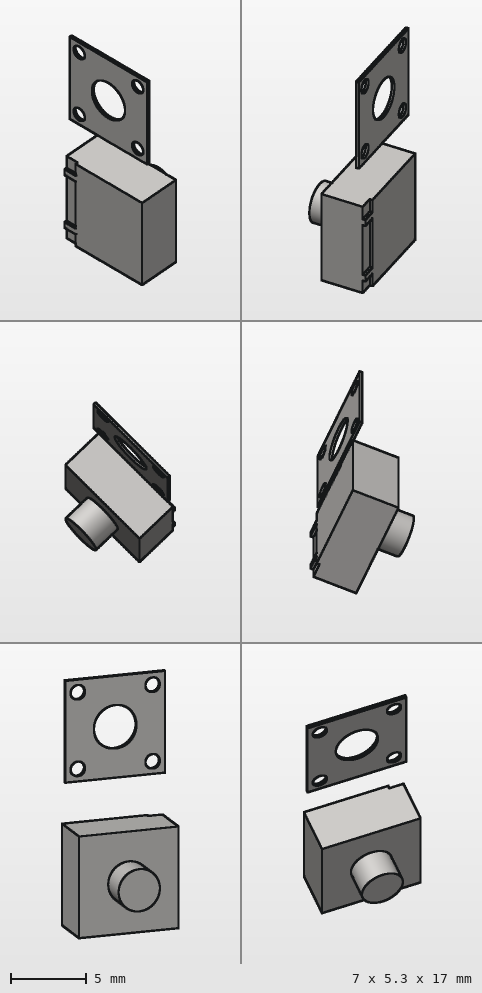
import cadquery as cq

side = 7.0

housing_depth = 3.3
stem_diameter = 2.9
stem_length = 2.0

recess_depth = 0.2
recess_width = 1.0
rib_height = 0.5
end_recess_height = 1.0
middle_recess_height = side - 2 * (end_recess_height + rib_height)

total_height = 17.0
plate_bottom = total_height - side
plate_front = 0.5
plate_thickness = 0.2
center_hole_diameter = 3.0
corner_hole_diameter = 1.0
corner_pitch = 5.27


def box_from_corner(x, y, z, width, depth, height):
    """Box that grows in +X, +Y and +Z from the given corner."""
    return cq.Workplane("XY").box(width, depth, height, centered=False).translate((x, y, z))


def rod_along_y(x, y, z, diameter, length):
    """Cylinder that starts at the given center and runs in +Y."""
    direction = cq.Vector(0, 1, 0)
    return cq.Workplane(obj=cq.Solid.makeCylinder(diameter / 2, length, cq.Vector(x, y, z), direction))


def make_housing():
    """Block with a stem on the back and three recesses, split by two ribs, in the front."""
    block = box_from_corner(0, 0, 0, side, housing_depth, side)
    stem = rod_along_y(side / 2, housing_depth, side / 2, stem_diameter, stem_length)
    housing = block.union(stem)

    recess_bottom = 0
    for height in (end_recess_height, middle_recess_height, end_recess_height):
        housing = housing.cut(box_from_corner(0, 0, recess_bottom, recess_width, recess_depth, height))
        recess_bottom += height + rib_height
    return housing


def make_plate():
    """Thin square plate with a large center hole and a hole near each corner."""
    plate = box_from_corner(0, plate_front, plate_bottom, side, plate_thickness, side)
    center_x = side / 2
    center_z = plate_bottom + side / 2

    center_hole = rod_along_y(center_x, plate_front, center_z, center_hole_diameter, plate_thickness)
    plate = plate.cut(center_hole)

    for x_sign in (-1, 1):
        for z_sign in (-1, 1):
            hole_x = center_x + x_sign * corner_pitch / 2
            hole_z = center_z + z_sign * corner_pitch / 2
            plate = plate.cut(
                rod_along_y(hole_x, plate_front, hole_z, corner_hole_diameter, plate_thickness)
            )
    return plate


housing = make_housing()
plate = make_plate()

result = cq.Compound.makeCompound([housing.solids().val(), plate.solids().val()])